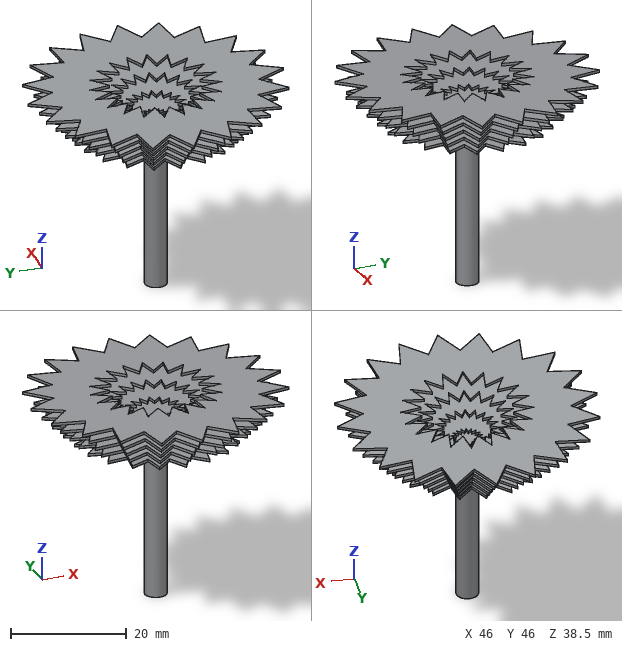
import cadquery as cq
import math

stem_diameter = 4.0
stem_length = 30.0

plate_count = 5
plate_thickness = 0.5
plate_pitch = 2.0
point_count = 20

lowest_tip_radius = 15.0
tip_radius_step = 2.0
valley_to_tip_ratio = 0.7806

opening_tip_radius_step = 2.88
opening_valley_radius_step = 2.0

half_point_angle = math.pi / point_count


def star(tip_radius, valley_radius, first_tip_angle, base_z):
    """Star-shaped plate with its underside at base_z."""
    corners = []
    for corner in range(2 * point_count):
        radius = tip_radius if corner % 2 == 0 else valley_radius
        angle = first_tip_angle + corner * half_point_angle
        corners.append((radius * math.cos(angle), radius * math.sin(angle)))
    return (
        cq.Workplane("XY", origin=(0, 0, base_z))
        .polyline(corners)
        .close()
        .extrude(plate_thickness)
    )


def outer_star(number):
    """Solid star plate at its level in the stack."""
    tip_radius = lowest_tip_radius + number * tip_radius_step
    return star(
        tip_radius,
        tip_radius * valley_to_tip_ratio,
        0,
        stem_length + number * plate_pitch,
    )


def star_ring(number):
    """Star plate with a star opening turned by half a point."""
    opening = star(
        number * opening_tip_radius_step,
        number * opening_valley_radius_step,
        half_point_angle,
        stem_length + number * plate_pitch,
    )
    return outer_star(number).cut(opening)


def stemmed_star():
    """Lowest plate, without an opening, in one piece with the stem."""
    stem = cq.Workplane("XY").circle(stem_diameter / 2).extrude(stem_length)
    return stem.union(outer_star(0))


base = stemmed_star()
rings = [star_ring(number) for number in range(1, plate_count)]

result = cq.Compound.makeCompound([base.val(), *[ring.val() for ring in rings]])